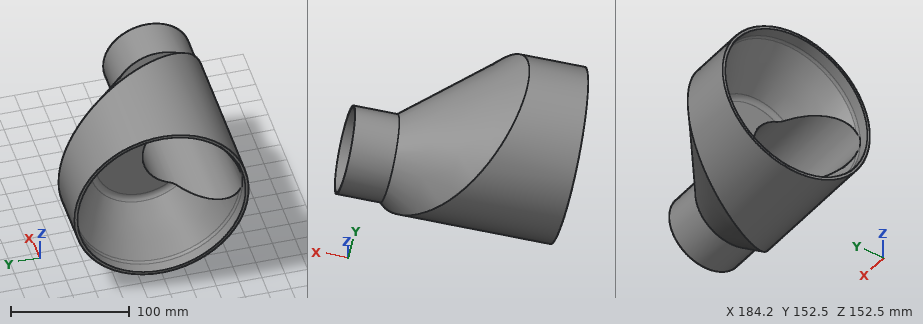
import cadquery as cq
import math


length = 184.2
sleeve_diameter = 152.5
sleeve_radius = sleeve_diameter / 2

pipe_diameter = 76.2
pipe_bore_diameter = 73.0
pipe_offset = 37.2
pipe_length = 38.1
cone_end = length - pipe_length

shoulder = 51.0
shoulder_radius = sleeve_radius + pipe_offset

mouth_diameter = 147.0
mouth_depth = 10.7
cup_depth = 63.5
floor_radius = 40.9
cup_fillet = 6.5
taper_angle = 30.0

full_turn = 360


def cylinder_along_x(diameter, x_start, x_length, y):
    """Cylinder parallel to X that starts at x_start."""
    return (
        cq.Workplane("YZ", origin=(x_start, y, 0))
        .circle(diameter / 2)
        .extrude(x_length)
    )


def make_cone():
    """Cone coaxial with the pipe, continued as a cylinder back to the mouth."""
    profile = (
        cq.Workplane("XY", origin=(0, -pipe_offset, 0))
        .lineTo(0, shoulder_radius)
        .lineTo(shoulder, shoulder_radius)
        .lineTo(cone_end, pipe_diameter / 2)
        .lineTo(cone_end, 0)
        .close()
    )
    return profile.revolve(full_turn, (0, 0), (1, 0))


def make_body():
    """Sleeve trimmed by the cone, plus the pipe."""
    sleeve = cylinder_along_x(sleeve_diameter, 0, cone_end, 0)
    pipe = cylinder_along_x(pipe_diameter, cone_end, pipe_length, -pipe_offset)
    return sleeve.intersect(make_cone()).union(pipe)


def make_cup():
    """Solid to remove: straight mouth, rounded into a taper that ends in a filleted flat floor."""
    mouth_radius = mouth_diameter / 2
    angle = math.radians(taper_angle)

    def on_lip(turn):
        """Point on the round between mouth and taper."""
        x = mouth_depth + cup_fillet * math.sin(turn)
        return x, mouth_radius - cup_fillet * (1 - math.cos(turn))

    def on_corner(turn):
        """Point on the fillet between taper and floor."""
        x = cup_depth - cup_fillet * (1 - math.sin(turn))
        return x, floor_radius + cup_fillet * math.cos(turn)

    profile = (
        cq.Workplane("XY")
        .lineTo(0, mouth_radius)
        .lineTo(mouth_depth, mouth_radius)
        .threePointArc(on_lip(angle / 2), on_lip(angle))
        .lineTo(*on_corner(angle))
        .threePointArc(on_corner((angle + math.pi / 2) / 2), (cup_depth, floor_radius))
        .lineTo(cup_depth, 0)
        .close()
    )
    return profile.revolve(full_turn, (0, 0), (1, 0))


def make_pipe_bore():
    """Bore of the pipe, carried through the cup wall up to the straight mouth."""
    bore_length = length - mouth_depth
    return cylinder_along_x(pipe_bore_diameter, mouth_depth, bore_length, -pipe_offset)


result = make_body().cut(make_cup()).cut(make_pipe_bore())